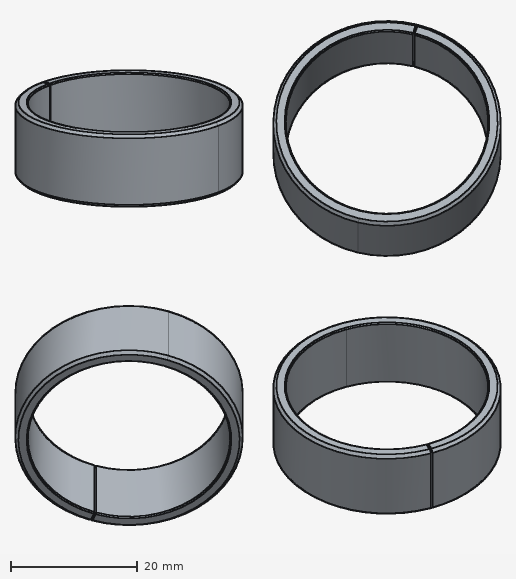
import cadquery as cq

outer_diameter = 36.0
wall = 2.0
height = 12.0
outer_radius = outer_diameter / 2
inner_radius = outer_radius - wall

outer_chamfer = 0.5
inner_chamfer = 0.2

split_width = 0.3


def cylinder(radius):
    """Full-height cylinder centred on the origin."""
    return cq.Workplane("XY").cylinder(height, radius)


body = cylinder(outer_radius).edges("%CIRCLE").chamfer(outer_chamfer)
ring = body.cut(cylinder(inner_radius))
bore_rims = cq.selectors.RadiusNthSelector(0)
ring = ring.edges("%CIRCLE").edges(bore_rims).chamfer(inner_chamfer)

split = (
    cq.Workplane("XY")
    .box(outer_radius, split_width, height, centered=(False, False, True))
    .translate((-outer_radius, 0, 0))
)

result = ring.cut(split)